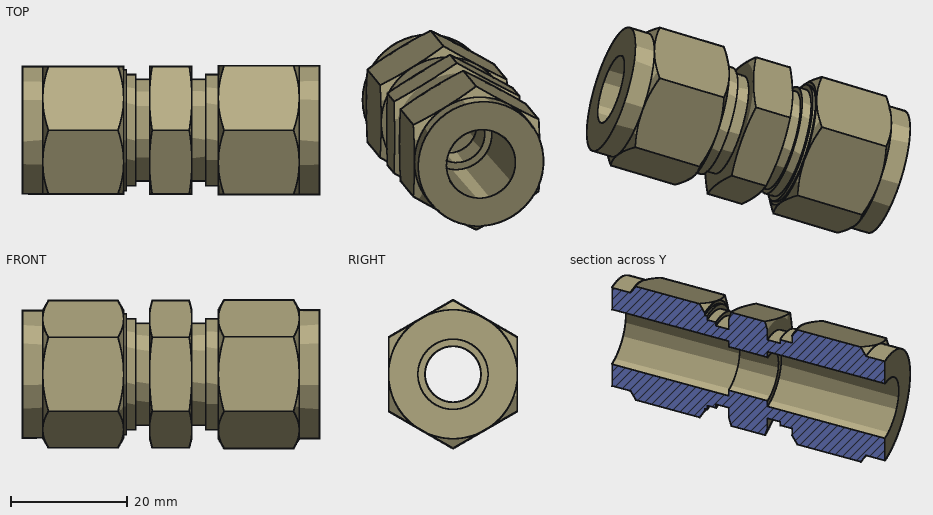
import cadquery as cq
import math


left_nut_flats = 22.0
body_flats = 22.0
right_nut_flats = 22.22
nut_chamfer_angle = 30.0
body_chamfer_angle = 15.0

hexagon_sides = 6
corner_spacing = math.radians(360 / hexagon_sides)
half_spacing = corner_spacing / 2

overall_length = 51.2
skirt_length = 3.5
nut_hex_length = 13.95
body_hex_start = 21.9
body_hex_length = 7.3
washer_length = 0.45
collar_gap = 2.35

washer_diameter = 20.9
collar_diameter = 19.2
neck_diameter = 17.6
bore_diameter = 9.6
tube_socket_diameter = 12.1

left_nut_end = skirt_length + nut_hex_length
right_nut_start = overall_length - left_nut_end
body_hex_end = body_hex_start + body_hex_length


def cylinder(start, end, diameter):
    """Round bar along X between two stations."""
    return cq.Workplane("YZ", origin=(start, 0, 0)).circle(diameter / 2).extrude(end - start)


def chamfered_hexagon(start, length, flats, chamfer_angle):
    """Hexagonal prism along X, its corners turned to a cone at both ends."""
    corner_radius = flats / 2 / math.cos(half_spacing)
    flat_radius = flats / 2
    chamfer_length = (corner_radius - flat_radius) * math.tan(math.radians(chamfer_angle))
    end = start + length

    corners = []
    for index in range(hexagon_sides):
        angle = half_spacing + corner_spacing * index
        corners.append((corner_radius * math.cos(angle), corner_radius * math.sin(angle)))
    prism = cq.Workplane("YZ", origin=(start, 0, 0)).polyline(corners).close().extrude(length)

    envelope_profile = [
        (start, 0),
        (start, flat_radius),
        (start + chamfer_length, corner_radius),
        (end - chamfer_length, corner_radius),
        (end, flat_radius),
        (end, 0),
    ]
    envelope = cq.Workplane("XY").polyline(envelope_profile).close().revolve(360, (0, 0), (1, 0))
    return prism.intersect(envelope)


def nut(hex_start, skirt_start, flats):
    """Nut with a round skirt as wide as its flats."""
    hexagon = chamfered_hexagon(hex_start, nut_hex_length, flats, nut_chamfer_angle)
    return hexagon.union(cylinder(skirt_start, skirt_start + skirt_length, flats))


def body():
    """Central hexagon, necks on both sides, and the collars that run into the nuts."""
    hexagon = chamfered_hexagon(body_hex_start, body_hex_length, body_flats, body_chamfer_angle)
    neck = cylinder(left_nut_end, right_nut_start, neck_diameter)
    washer = cylinder(left_nut_end, left_nut_end + washer_length, washer_diameter)
    left_collar = cylinder(left_nut_end, body_hex_start - collar_gap, collar_diameter)
    right_collar = cylinder(body_hex_end + collar_gap, right_nut_start, collar_diameter)
    return neck.union(hexagon).union(washer).union(left_collar).union(right_collar)


def bore():
    """Through bore with a tube socket from each end, stopping at the central hexagon."""
    through = cylinder(0, overall_length, bore_diameter)
    left_socket = cylinder(0, body_hex_start, tube_socket_diameter)
    right_socket = cylinder(body_hex_end, overall_length, tube_socket_diameter)
    return through.union(left_socket).union(right_socket)


left_nut = nut(skirt_length, 0, left_nut_flats)
right_nut = nut(right_nut_start, overall_length - skirt_length, right_nut_flats)

result = body().union(left_nut).union(right_nut).cut(bore())